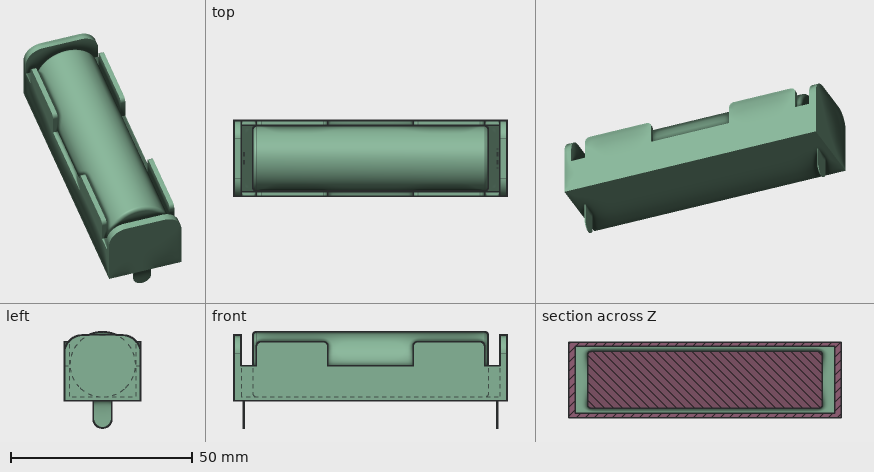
import cadquery as cq

holder_length = 75.5
holder_width = 21.0
end_wall_thickness = 2.05
end_wall_height = 18.2
end_wall_corner_radius = 5.0
side_wall_height = 9.75
floor_thickness = 1.1
side_wall_thickness = 1.35

tab_length = 19.75
tab_top_height = 16.35
tab_corner_radius = 1.3
tab_end_offset = 6.25

pin_width = 5.2
pin_thickness = 0.25
pin_length = 7.5
pin_end_offset = 2.8

cell_diameter = 18.0
cell_length = 65.0
cell_edge_radius = 1.0

cavity_width = holder_width - 2 * side_wall_thickness
cavity_length = holder_length - 2 * end_wall_thickness
cell_axis_height = floor_thickness + cell_diameter / 2
tab_center_x = holder_length / 2 - tab_end_offset - tab_length / 2
pin_center_x = holder_length / 2 - pin_end_offset
end_wall_center_x = (holder_length - end_wall_thickness) / 2
side_wall_center_y = (holder_width - side_wall_thickness) / 2


def make_tray():
    """Open box with low side walls, before the end walls and tabs rise from it."""
    block = cq.Workplane("XY").box(
        holder_length, holder_width, side_wall_height, centered=(True, True, False)
    )
    cavity = (
        cq.Workplane("XY")
        .workplane(offset=floor_thickness)
        .rect(cavity_length, cavity_width)
        .extrude(side_wall_height - floor_thickness)
    )
    return block.cut(cavity)


def make_end_wall(center_x):
    """Full-height end plate with two rounded upper corners."""
    return (
        cq.Workplane("XY")
        .box(end_wall_thickness, holder_width, end_wall_height, centered=(True, True, False))
        .edges("|X and >Z")
        .fillet(end_wall_corner_radius)
        .translate((center_x, 0, 0))
    )


def make_tab(center_x, center_y):
    """Flat clip tab in line with a side wall, rounded at its upper corners."""
    return (
        cq.Workplane("XY")
        .box(tab_length, side_wall_thickness, tab_top_height, centered=(True, True, False))
        .edges("|Y and >Z")
        .fillet(tab_corner_radius)
        .translate((center_x, center_y, 0))
    )


def make_pin(center_x):
    """Thin blade below the floor with a fully rounded tip."""
    half_width = pin_width / 2
    straight_length = pin_length - half_width
    return (
        cq.Workplane("YZ", origin=(center_x, 0, 0))
        .moveTo(-half_width, 0)
        .lineTo(-half_width, -straight_length)
        .threePointArc((0, -pin_length), (half_width, -straight_length))
        .lineTo(half_width, 0)
        .close()
        .extrude(pin_thickness / 2, both=True)
    )


def make_holder():
    """Tray, end walls, tabs and pins as one solid."""
    body = make_tray()
    for end in (-1, 1):
        body = body.union(make_end_wall(end * end_wall_center_x))
        body = body.union(make_pin(end * pin_center_x))
        for side in (-1, 1):
            body = body.union(make_tab(end * tab_center_x, side * side_wall_center_y))
    return body


def make_cell():
    """Cylindrical cell along X with rounded end edges."""
    return (
        cq.Workplane("YZ", origin=(-cell_length / 2, 0, cell_axis_height))
        .circle(cell_diameter / 2)
        .extrude(cell_length)
        .edges("%CIRCLE")
        .fillet(cell_edge_radius)
    )


holder = make_holder()
cell = make_cell()

result = cq.Compound.makeCompound([holder.val(), cell.val()])